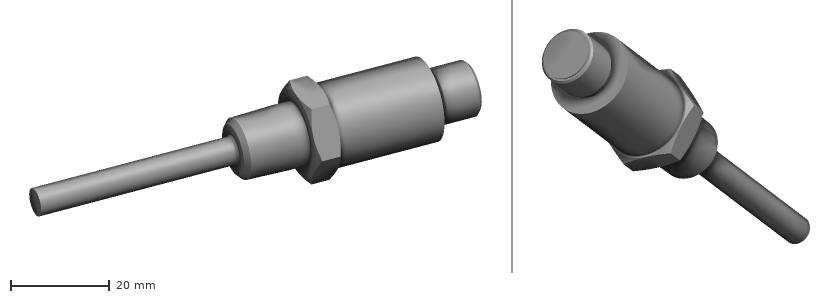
import cadquery as cq
import math

total_length = 97.4
probe_length = 44.2
thread_length = 14.2
hex_thickness = 5.7
body_length = 23.3
hex_front = probe_length + thread_length
hex_back = hex_front + hex_thickness
body_back = hex_back + body_length

probe_radius = 3.0
probe_root_radius = 3.3
probe_root_length = 0.6

thread_radius = 6.86
thread_tip_radius = 6.58
thread_nose_radius = 5.5
thread_nose_length = 1.1
thread_cylinder_length = 4.0

hex_sides = 6
hex_across_flats = 19.0
hex_across_corners = hex_across_flats / math.cos(math.pi / hex_sides)
hex_face_radius = hex_across_flats / 2
hex_chamfer_angle = 30.0

body_radius = 9.0
connector_radius = 6.0
connector_chamfer = 0.4
connector_lip_length = 0.35
connector_lip_radius = 5.2
neck_radius = 5.45
neck_length = 1.3

flat_width = 2.0
flat_length = 0.8
flat_gap = 0.3
flat_tilt = 30.0


def turned_parts():
    """Revolve everything except the hexagon."""
    neck_back = body_back + neck_length
    shoulder_radius = connector_radius - connector_chamfer
    lip_front = total_length - connector_lip_length
    outline = [
        (0, 0),
        (probe_radius, 0),
        (probe_radius, probe_length - probe_root_length),
        (probe_root_radius, probe_length),
        (thread_nose_radius, probe_length),
        (thread_tip_radius, probe_length + thread_nose_length),
        (thread_radius, hex_front - thread_cylinder_length),
        (thread_radius, hex_back),
        (body_radius, hex_back),
        (body_radius, body_back),
        (neck_radius, body_back),
        (neck_radius, neck_back),
        (shoulder_radius, neck_back),
        (connector_radius, neck_back + connector_chamfer),
        (connector_radius, lip_front - connector_chamfer),
        (shoulder_radius, lip_front),
        (connector_lip_radius, lip_front),
        (connector_lip_radius, total_length),
        (0, total_length),
    ]
    return cq.Workplane("XY").polyline(outline).close().revolve(360, (0, 0, 0), (0, 1, 0))


def hexagon():
    """Hexagon with corners on the X axis and both faces chamfered."""
    prism = (
        cq.Workplane("XZ", origin=(0, hex_back, 0))
        .polygon(hex_sides, hex_across_corners)
        .extrude(hex_thickness)
    )
    corner_radius = hex_across_corners / 2
    chamfer_length = (corner_radius - hex_face_radius) * math.tan(math.radians(hex_chamfer_angle))
    envelope = (
        cq.Workplane("XY")
        .polyline([
            (0, hex_front),
            (hex_face_radius, hex_front),
            (corner_radius, hex_front + chamfer_length),
            (corner_radius, hex_back - chamfer_length),
            (hex_face_radius, hex_back),
            (0, hex_back),
        ])
        .close()
        .revolve(360, (0, 0, 0), (0, 1, 0))
    )
    return prism.intersect(envelope)


def neck_flat_cutter(angle):
    """Cutter for one flat on the neck, turned about the Y axis from +Z."""
    flat_distance = math.sqrt(neck_radius**2 - (flat_width / 2) ** 2)
    flat_center_y = body_back + flat_gap + flat_length / 2
    return (
        cq.Workplane("XY", origin=(0, flat_center_y, flat_distance))
        .rect(flat_width, flat_length)
        .extrude(neck_radius - flat_distance)
        .rotate((0, 0, 0), (0, 1, 0), angle)
    )


result = turned_parts().union(hexagon())
for flat_angle in (flat_tilt, flat_tilt + 180):
    result = result.cut(neck_flat_cutter(flat_angle))